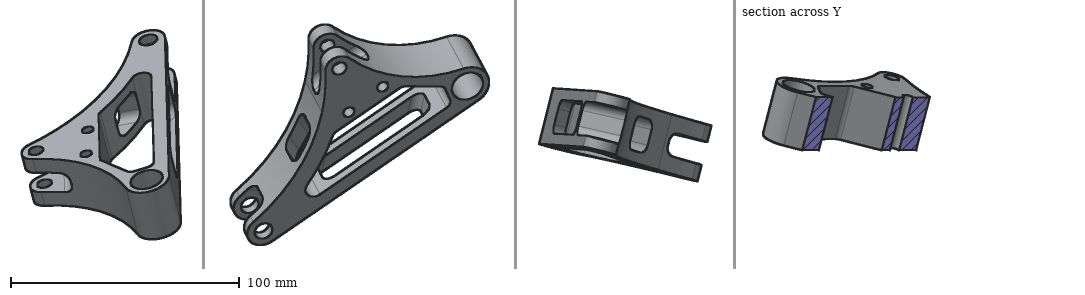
import cadquery as cq
import math

THICKNESS = 25.1
TILT = 17.6
ARM_TURN = 41.8

MAIN_RADIUS = 10.0
MAIN_BORE_RADIUS = 7.1
MAIN_CENTER = (0, 0)
FORK_RADIUS = 7.4
FORK_HOLE_RADIUS = 4.0
FORK_CENTER = (-109.9, MAIN_RADIUS - FORK_RADIUS)
LUG_RADIUS = 6.4
LUG_HOLE_RADIUS = 3.2
LUG_CENTER = (-39.2, -48.8)

LONG_EDGE_RADIUS = 89.1
LONG_EDGE_START_ANGLE = -98.4
LONG_EDGE_END_ANGLE = 41.6
SHORT_EDGE_RADIUS = 58.4

ARM_WALL = 6.5
LONG_EDGE_WALL = 8.3
WINDOW_BOTTOM = -20.5
WINDOW_CORNERS = [(-22.5, WINDOW_BOTTOM), (-8.0, -7.2)]
WINDOW_ARM_END = -10.3
WINDOW_TIP_FILLET = 4.4
WINDOW_FILLET = 3.5

SMALL_HOLE_RADIUS = 2.5
SMALL_HOLE_SPACING = 18.6
SMALL_HOLES_MIDDLE = (-38.6, -26.1)
SMALL_HOLES_ANGLE = 45.0

CUT_HEIGHT = 15.1
CUT_FILLET = 4.0
FORK_ROOT_ANGLE = 45.0
SLOT_START = -81.7
ARM_SLOT_LENGTH = 56.7
EDGE_SLOT_LENGTH = 15.7
FORK_DEPTH = 12.2
LUG_GAP = 10.3
LUG_GAP_ROOT_Y = -35.9

REACH = 120.7
MID_Z = -THICKNESS / 2


def polar(center, radius, angle):
    """Point at a distance and an angle in radians from a centre."""
    return (center[0] + radius * math.cos(angle), center[1] + radius * math.sin(angle))


def direction(start, end):
    """Angle in radians of the line from one point to another."""
    return math.atan2(end[1] - start[1], end[0] - start[0])


def middle_of_arc(center, radius, start, end):
    """Point halfway along the shorter arc between two points on a circle."""
    chord_middle = ((start[0] + end[0]) / 2, (start[1] + end[1]) / 2)
    return polar(center, radius, direction(center, chord_middle))


LONG_EDGE_CENTER = polar(FORK_CENTER, FORK_RADIUS + LONG_EDGE_RADIUS, math.radians(LONG_EDGE_START_ANGLE))


def make_plate():
    """Plate outline: three bosses joined by a straight arm and two concave edges."""
    end_angle = math.radians(LONG_EDGE_END_ANGLE)
    long_start = polar(FORK_CENTER, FORK_RADIUS, math.radians(LONG_EDGE_START_ANGLE))
    long_end = polar(LONG_EDGE_CENTER, LONG_EDGE_RADIUS, end_angle)
    lug_distance = math.dist(long_end, LUG_CENTER)
    lug_offset = lug_distance * math.cos(direction(long_end, LUG_CENTER) - end_angle)
    second_radius = (lug_distance**2 - LUG_RADIUS**2) / (2 * (LUG_RADIUS - lug_offset))
    second_center = polar(long_end, -second_radius, end_angle)
    lug_start = polar(LUG_CENTER, LUG_RADIUS, direction(LUG_CENTER, second_center))

    lug_side = SHORT_EDGE_RADIUS + LUG_RADIUS
    main_side = SHORT_EDGE_RADIUS + MAIN_RADIUS
    boss_gap = math.dist(LUG_CENTER, MAIN_CENTER)
    corner = math.acos((lug_side**2 + boss_gap**2 - main_side**2) / (2 * lug_side * boss_gap))
    short_center = polar(LUG_CENTER, lug_side, direction(LUG_CENTER, MAIN_CENTER) - corner)
    lug_end = polar(LUG_CENTER, LUG_RADIUS, direction(LUG_CENTER, short_center))
    main_start = polar(MAIN_CENTER, MAIN_RADIUS, direction(MAIN_CENTER, short_center))

    return (
        cq.Workplane("XY")
        .moveTo(FORK_CENTER[0], MAIN_RADIUS)
        .threePointArc((FORK_CENTER[0] - FORK_RADIUS, FORK_CENTER[1]), long_start)
        .threePointArc(middle_of_arc(LONG_EDGE_CENTER, LONG_EDGE_RADIUS, long_start, long_end), long_end)
        .threePointArc(middle_of_arc(second_center, second_radius, long_end, lug_start), lug_start)
        .threePointArc(polar(LUG_CENTER, LUG_RADIUS, -math.pi / 2), lug_end)
        .threePointArc(middle_of_arc(short_center, SHORT_EDGE_RADIUS, lug_end, main_start), main_start)
        .threePointArc((MAIN_RADIUS, 0), (0, MAIN_RADIUS))
        .close()
        .extrude(-THICKNESS)
    )


def make_window():
    """Central window; its curved side follows the long edge of the plate."""
    radius = LONG_EDGE_RADIUS + LONG_EDGE_WALL
    top = MAIN_RADIUS - ARM_WALL

    def on_curved_side(y):
        rise = y - LONG_EDGE_CENTER[1]
        return (LONG_EDGE_CENTER[0] + math.sqrt(radius**2 - rise**2), y)

    tip = on_curved_side(top)
    foot = on_curved_side(WINDOW_BOTTOM)
    window = (
        cq.Workplane("XY")
        .moveTo(*tip)
        .threePointArc(middle_of_arc(LONG_EDGE_CENTER, radius, tip, foot), foot)
        .lineTo(*WINDOW_CORNERS[0])
        .lineTo(*WINDOW_CORNERS[1])
        .lineTo(WINDOW_ARM_END, top)
        .close()
        .extrude(-THICKNESS)
    )
    window = window.edges("|Z").edges("<X").fillet(WINDOW_TIP_FILLET)
    sharp_corners = cq.selectors.BoxSelector(
        (foot[0] - 1, WINDOW_BOTTOM - 1, -THICKNESS), (0, top + 1, 0)
    )
    return window.edges("|Z").edges(sharp_corners).fillet(WINDOW_FILLET)


def make_hole(center, radius):
    """Round hole through the whole thickness."""
    return cq.Workplane("XY").center(*center).circle(radius).extrude(-THICKNESS)


def make_slot(width, start_y, end_y):
    """Rounded rectangular slot of a given width, running along Y and starting at X = 0."""
    depth = end_y - start_y
    slot = cq.Workplane("XY").box(width, depth, CUT_HEIGHT).edges("|Y").fillet(CUT_FILLET)
    return slot.translate((width / 2, start_y + depth / 2, MID_Z))


def make_arm_slot():
    """Slot through the arm, running along the Y axis of the turned plate."""
    turn = math.radians(ARM_TURN)
    width = ARM_SLOT_LENGTH * math.cos(turn)
    slot = make_slot(width, -REACH, REACH)
    slot = slot.rotate((0, 0, 0), (0, 0, 1), ARM_TURN).translate((SLOT_START, MAIN_RADIUS, 0))
    arm_side = cq.Workplane("XY").box(4 * REACH, REACH, THICKNESS).translate((0, REACH / 2, MID_Z))
    return slot.intersect(arm_side)


def make_edge_slot():
    """Slot square to the arm, from the long edge into the window."""
    return make_slot(EDGE_SLOT_LENGTH, -REACH, 0).translate((SLOT_START, 0, 0))


def make_fork_gap():
    """Gap between the two fork lugs; its root is oblique to the arm."""
    gap = cq.Workplane("XY").box(REACH, REACH, CUT_HEIGHT).edges("|X and <Y").fillet(CUT_FILLET)
    gap = gap.translate((0, REACH / 2 - FORK_DEPTH, MID_Z))
    gap = gap.rotate((0, 0, 0), (0, 0, 1), FORK_ROOT_ANGLE)
    return gap.translate((*FORK_CENTER, 0))


def make_lug_gap():
    """Gap between the two lower lugs, with a rounded root parallel to the arm."""
    gap = cq.Workplane("XY").box(REACH, REACH, LUG_GAP).edges("|X and >Y").fillet(CUT_FILLET)
    return gap.translate((LUG_CENTER[0], LUG_GAP_ROOT_Y - REACH / 2, MID_Z))


plate = make_plate().cut(make_window())

plate = plate.cut(make_hole(MAIN_CENTER, MAIN_BORE_RADIUS))
plate = plate.cut(make_hole(FORK_CENTER, FORK_HOLE_RADIUS))
plate = plate.cut(make_hole(LUG_CENTER, LUG_HOLE_RADIUS))
small_holes_angle = math.radians(ARM_TURN - SMALL_HOLES_ANGLE)
for side in (-1, 1):
    hole_center = polar(SMALL_HOLES_MIDDLE, side * SMALL_HOLE_SPACING / 2, small_holes_angle)
    plate = plate.cut(make_hole(hole_center, SMALL_HOLE_RADIUS))

plate = plate.cut(make_arm_slot())
plate = plate.cut(make_edge_slot())
plate = plate.cut(make_fork_gap())
plate = plate.cut(make_lug_gap())

turned = plate.rotate((0, 0, 0), (0, 0, 1), -ARM_TURN)
result = turned.rotate((0, 0, 0), (0, 1, 0), -TILT)